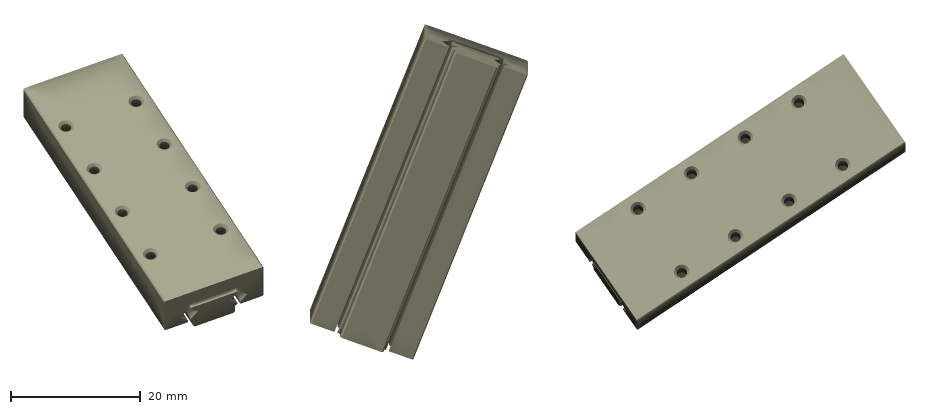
import cadquery as cq
import math

length = 50.0
carriage_width = 17.0
carriage_top = 8.0
carriage_bottom = 1.5
edge_chamfer = 0.2

track_side = 2.0
track_half_diagonal = track_side / math.sqrt(2)
track_center_y = 4.25
track_center_z = 3.15
track_gap = 0.5

channel_half_width = track_center_y + track_gap / 2
channel_roof = 5.35

rail_top = 4.5
rail_lip_bottom = 1.5
rail_half_width = track_center_y - track_gap / 2
stem_width = 7.1
stem_chamfer = 0.25

hole_diameter = 1.6
countersink_diameter = 2.4
countersink_angle = 90.0
hole_depth = 3.5
drill_point_angle = 118.0
hole_columns = 4
hole_pitch_x = 10.0
hole_pitch_y = 12.0


def long_bar(width, bottom, top):
    """Full-length rectangular bar, centred on X and Y, between two heights."""
    return cq.Workplane("XY").box(length, width, top - bottom).translate((0, 0, (bottom + top) / 2))


def track_cutters():
    """Two full-length square bars standing on edge, one for each roller track."""
    return (
        cq.Workplane("YZ", origin=(-length / 2, 0, 0))
        .pushPoints([(side * track_center_y, track_center_z) for side in (-1, 1)])
        .polygon(4, 2 * track_half_diagonal)
        .extrude(length)
    )


def mounting_hole_cutter():
    """Countersunk blind hole with a drill point, its mouth at the origin and pointing down."""
    hole_radius = hole_diameter / 2
    mouth_radius = countersink_diameter / 2
    countersink_depth = (mouth_radius - hole_radius) / math.tan(math.radians(countersink_angle / 2))
    point_depth = hole_radius / math.tan(math.radians(drill_point_angle / 2))
    return (
        cq.Workplane("XZ")
        .moveTo(0, 0)
        .lineTo(mouth_radius, 0)
        .lineTo(hole_radius, -countersink_depth)
        .lineTo(hole_radius, -hole_depth)
        .lineTo(0, -hole_depth - point_depth)
        .close()
        .revolve(360, (0, 0, 0), (0, 1, 0))
    )


def make_carriage():
    """Inverted-U carriage with roller tracks and two rows of mounting holes."""
    carriage = long_bar(carriage_width, carriage_bottom, carriage_top).edges("|X").chamfer(edge_chamfer)
    carriage = carriage.cut(long_bar(2 * channel_half_width, carriage_bottom, channel_roof))
    carriage = carriage.cut(track_cutters())
    hole = mounting_hole_cutter()
    for column in range(hole_columns):
        x = (column - (hole_columns - 1) / 2) * hole_pitch_x
        for side in (-1, 1):
            carriage = carriage.cut(hole.translate((x, side * hole_pitch_y / 2, carriage_top)))
    return carriage


def make_rail():
    """T-shaped rail with a roller track along each flank."""
    head = long_bar(2 * rail_half_width, rail_lip_bottom, rail_top)
    head = head.edges("|X and <Z").chamfer(edge_chamfer)
    stem = long_bar(stem_width, 0, rail_top).edges("|X and <Z").chamfer(stem_chamfer)
    return head.union(stem).cut(track_cutters())


carriage = make_carriage()
rail = make_rail()

result = cq.Compound.makeCompound([carriage.solids().val(), rail.solids().val()])